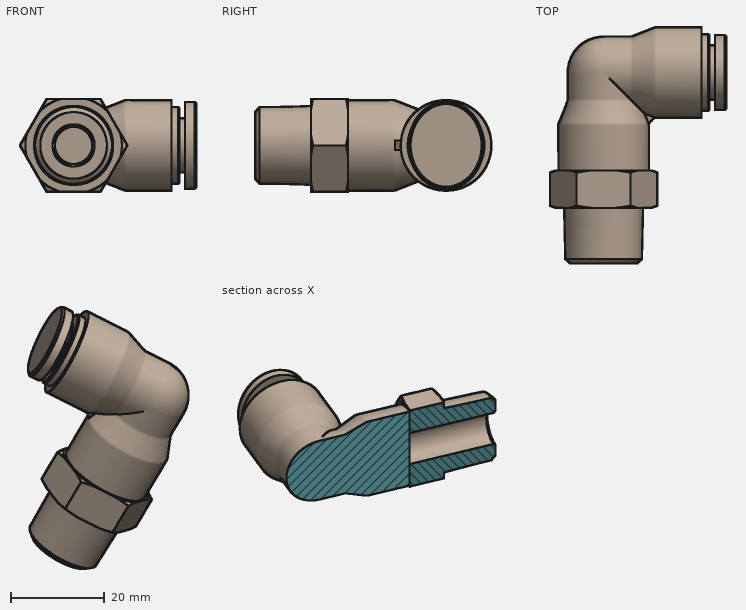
import cadquery as cq
import math


overall_width = 37.95
overall_length = 50.75

elbow_diameter = 15.5
socket_diameter = 19.5
cone_start = 6.0
cone_end = 11.05
leg_length = 21.0
blend_radius = 1.0
edge_search_margin = 0.5

web_start = 8.65
web_near = 9.6
web_far = 11.0
web_thickness = 2.05

hex_across_flats = 20.0
hex_height = 8.0
hex_face_diameter = 20.7
hex_chamfer_height = 0.45
thread_root_diameter = 17.0
thread_end_diameter = 16.5
thread_tip_diameter = 14.3
thread_chamfer_height = 1.0
adapter_bore_diameter = 8.0
bore_chamfer = 0.5

ring_diameter = 16.5
ring_width = 1.75
ring_chamfer = 0.3
neck_diameter = 11.7
gap_width = 1.15
button_height = 18.7
button_width = 16.15
button_chamfer = 0.45

elbow_radius = elbow_diameter / 2
socket_radius = socket_diameter / 2
hex_corner_diameter = hex_across_flats / math.cos(math.radians(30))
hex_end = leg_length + hex_height
thread_end = overall_length - socket_radius
ring_end = leg_length + ring_width
flange_start = ring_end + gap_width
button_end = overall_width - hex_corner_diameter / 2


def make_leg_blank():
    """One stepped leg along +X with softened cone edges, from the elbow centre to the leg end."""
    leg = (
        cq.Workplane("XY")
        .moveTo(0, 0)
        .lineTo(0, elbow_radius)
        .lineTo(cone_start, elbow_radius)
        .lineTo(cone_end, socket_radius)
        .lineTo(leg_length, socket_radius)
        .lineTo(leg_length, 0)
        .close()
        .revolve(360, (0, 0, 0), (1, 0, 0))
    )
    cone_edges = cq.selectors.BoxSelector(
        (cone_start - edge_search_margin, -socket_diameter, -socket_diameter),
        (cone_end + edge_search_margin, socket_diameter, socket_diameter),
    )
    return leg.edges("%CIRCLE").edges(cone_edges).fillet(blend_radius)


def make_elbow():
    """Two mitred legs with a spherical outer corner and a thin web in the inner corner."""
    tube_leg = make_leg_blank()
    thread_leg = tube_leg.rotate((0, 0, 0), (0, 0, 1), -90)
    corner = cq.Workplane("XY").sphere(elbow_radius)
    web = (
        cq.Workplane("XY")
        .polyline([(web_start, -web_start), (web_far, -web_near), (web_near, -web_far)])
        .close()
        .extrude(web_thickness / 2, both=True)
    )
    return tube_leg.union(thread_leg).union(corner).union(web)


def make_adapter():
    """Bevelled hexagon with a tapered thread, bored through along Y."""
    hexagon = (
        cq.Workplane("XZ", origin=(0, -leg_length, 0))
        .polygon(6, hex_corner_diameter)
        .extrude(hex_height)
    )
    face_radius = hex_face_diameter / 2
    corner_radius = hex_corner_diameter / 2
    envelope = (
        cq.Workplane("XY")
        .polyline([
            (0, -leg_length),
            (face_radius, -leg_length),
            (corner_radius, -leg_length - hex_chamfer_height),
            (corner_radius, -hex_end + hex_chamfer_height),
            (face_radius, -hex_end),
            (0, -hex_end),
        ])
        .close()
        .revolve(360, (0, 0, 0), (0, 1, 0))
    )
    thread = (
        cq.Workplane("XY")
        .polyline([
            (0, -hex_end),
            (thread_root_diameter / 2, -hex_end),
            (thread_end_diameter / 2, -thread_end + thread_chamfer_height),
            (thread_tip_diameter / 2, -thread_end),
            (0, -thread_end),
        ])
        .close()
        .revolve(360, (0, 0, 0), (0, 1, 0))
    )
    bore_radius = adapter_bore_diameter / 2
    bore = (
        cq.Workplane("XY")
        .polyline([
            (0, -leg_length),
            (bore_radius, -leg_length),
            (bore_radius, -thread_end + bore_chamfer),
            (bore_radius + bore_chamfer, -thread_end),
            (0, -thread_end),
        ])
        .close()
        .revolve(360, (0, 0, 0), (0, 1, 0))
    )
    return hexagon.intersect(envelope).union(thread).cut(bore)


def make_ring():
    """Ring seated on the end of the tube leg, around the neck of the release button."""
    return (
        cq.Workplane("YZ", origin=(leg_length, 0, 0))
        .circle(ring_diameter / 2)
        .extrude(ring_width)
        .faces(">X")
        .chamfer(ring_chamfer)
        .faces(">X")
        .workplane()
        .hole(neck_diameter)
    )


def make_button():
    """Round neck with an oval flange that stands clear of the ring."""
    neck = (
        cq.Workplane("YZ", origin=(leg_length, 0, 0))
        .circle(neck_diameter / 2)
        .extrude(flange_start - leg_length)
    )
    flange = (
        cq.Workplane("YZ", origin=(flange_start, 0, 0))
        .ellipse(button_width / 2, button_height / 2)
        .extrude(button_end - flange_start)
        .faces(">X")
        .chamfer(button_chamfer)
    )
    return neck.union(flange)


elbow = make_elbow()
adapter = make_adapter()
ring = make_ring()
button = make_button()

result = cq.Compound.makeCompound([elbow.val(), adapter.val(), ring.val(), button.val()])